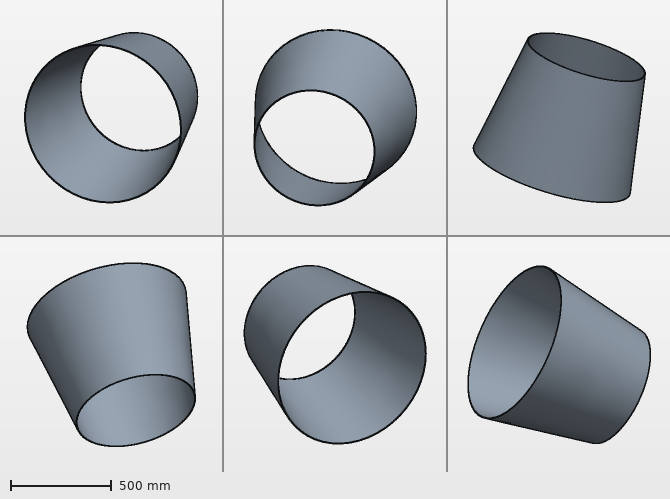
import cadquery as cq

large_diameter = 813.0
small_diameter = 610.0
length = 610.0
wall = 5.0

large_radius = large_diameter / 2
small_radius = small_diameter / 2

wall_section = (
    cq.Workplane("XY")
    .moveTo(large_radius - wall, 0)
    .lineTo(large_radius, 0)
    .lineTo(small_radius, length)
    .lineTo(small_radius - wall, length)
    .close()
)

result = wall_section.revolve(360, (0, 0, 0), (0, 1, 0))